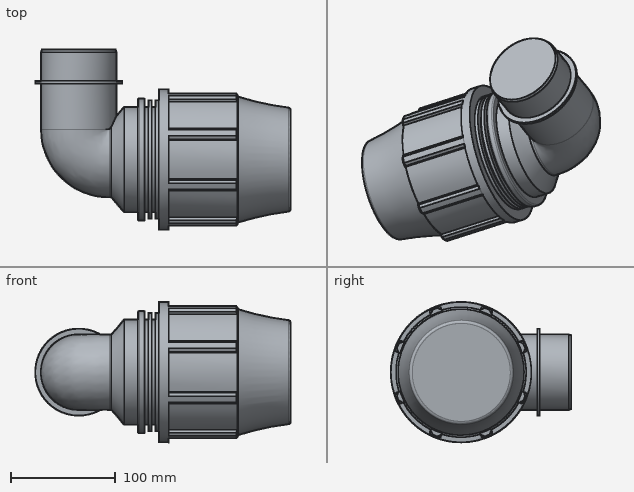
import cadquery as cq
import math


TUBE_RADIUS = 72.23 / 2
BEND_RADIUS = 29.0
SPIGOT_END_Y = 105.0
SPIGOT_CHAMFER_LENGTH = 2.6
SPIGOT_CHAMFER_DEPTH = 1.0

FLANGE_RADIUS = 83.06 / 2
FLANGE_START_Y = 72.4
FLANGE_THICKNESS = 2.6

CONE_START_X = 31.2
CONE_END_X = 43.2
SOCKET_RADIUS = 100.5 / 2

COLLAR_RADIUS = 116.58 / 2
COLLAR_START_X = 56.4
COLLAR_WIDTH = 6.6
COLLAR_ROUNDING = 1.3
RIDGE_RADIUS = 113.08 / 2
RIDGE_WIDTH = 3.3
RIDGE_PITCH = 6.7
RIDGE_START_X = 66.3
RIDGE_COUNT = 2

NUT_FLANGE_RADIUS = 134.0 / 2
NUT_START_X = 76.4
NUT_FLANGE_WIDTH = 9.2
NUT_BODY_RADIUS = 62.0
NUT_BODY_END_X = 152.0
NUT_EDGE_LENGTH = 1.0
SLEEVE_START_RADIUS = 60.0
SLEEVE_MIDDLE_X = 173.4
SLEEVE_MIDDLE_RADIUS = 54.2
SLEEVE_END_RADIUS = 49.4
NUT_END_X = 202.0
NUT_END_ROUNDING = 3.0

RIB_COUNT = 8
RIB_ROOT_RADIUS = 55.0
RIB_HALF_WIDTH = 5.6
RIB_TOP_HALF_WIDTH = 3.1
RIB_SHOULDER_RADIUS = 64.6
RIB_END_X = 151.6
RIB_END_CHAMFER = 1.8


def disc_x(radius, start_x, length):
    """Cylinder on the socket axis."""
    return cq.Workplane("YZ").workplane(offset=start_x).circle(radius).extrude(length)


def make_spigot():
    """Straight tube along +Y with a chamfered tip and a thin stop flange."""
    profile = (
        cq.Workplane("XY")
        .moveTo(0, BEND_RADIUS)
        .lineTo(TUBE_RADIUS, BEND_RADIUS)
        .lineTo(TUBE_RADIUS, FLANGE_START_Y)
        .lineTo(FLANGE_RADIUS, FLANGE_START_Y)
        .lineTo(FLANGE_RADIUS, FLANGE_START_Y + FLANGE_THICKNESS)
        .lineTo(TUBE_RADIUS, FLANGE_START_Y + FLANGE_THICKNESS)
        .lineTo(TUBE_RADIUS, SPIGOT_END_Y - SPIGOT_CHAMFER_LENGTH)
        .lineTo(TUBE_RADIUS - SPIGOT_CHAMFER_DEPTH, SPIGOT_END_Y)
        .lineTo(0, SPIGOT_END_Y)
        .close()
    )
    return profile.revolve(360, (0, 0, 0), (0, 1, 0))


def make_bend():
    """Quarter turn from the spigot to the socket.

    The bend is tighter than the tube radius, so only the part of the tube circle
    on the outer side of the turning axis is swept.
    """
    half_chord = math.sqrt(TUBE_RADIUS**2 - BEND_RADIUS**2)
    section = (
        cq.Workplane("XZ", origin=(0, BEND_RADIUS, 0))
        .moveTo(BEND_RADIUS, -half_chord)
        .threePointArc((-TUBE_RADIUS, 0), (BEND_RADIUS, half_chord))
        .close()
    )
    return section.revolve(90, (BEND_RADIUS, 0, 0), (BEND_RADIUS, 1, 0))


def make_socket():
    """Short neck, cone and cylinder that carry the collar and thread."""
    profile = (
        cq.Workplane("XY")
        .moveTo(BEND_RADIUS, 0)
        .lineTo(BEND_RADIUS, TUBE_RADIUS)
        .lineTo(CONE_START_X, TUBE_RADIUS)
        .lineTo(CONE_END_X, SOCKET_RADIUS)
        .lineTo(NUT_START_X, SOCKET_RADIUS)
        .lineTo(NUT_START_X, 0)
        .close()
    )
    socket = profile.revolve(360, (0, 0, 0), (1, 0, 0))
    collar = disc_x(COLLAR_RADIUS, COLLAR_START_X, COLLAR_WIDTH).edges().fillet(COLLAR_ROUNDING)
    socket = socket.union(collar)
    for index in range(RIDGE_COUNT):
        ridge_x = RIDGE_START_X + index * RIDGE_PITCH
        socket = socket.union(disc_x(RIDGE_RADIUS, ridge_x, RIDGE_WIDTH))
    return socket


def make_nut_body():
    """Cylindrical grip and hollow-curved tapering sleeve."""
    profile = (
        cq.Workplane("XY")
        .moveTo(NUT_START_X, 0)
        .lineTo(NUT_START_X, NUT_BODY_RADIUS)
        .lineTo(NUT_BODY_END_X - NUT_EDGE_LENGTH, NUT_BODY_RADIUS)
        .lineTo(NUT_BODY_END_X, SLEEVE_START_RADIUS)
        .threePointArc((SLEEVE_MIDDLE_X, SLEEVE_MIDDLE_RADIUS), (NUT_END_X, SLEEVE_END_RADIUS))
        .lineTo(NUT_END_X, 0)
        .close()
    )
    nut = profile.revolve(360, (0, 0, 0), (1, 0, 0))
    return nut.faces(">X").edges().fillet(NUT_END_ROUNDING)


def make_rib():
    """Grip rib at +Y with bevelled shoulders, its top flush with the nut flange and chamfered at the end."""
    top_corner_y = math.sqrt(NUT_FLANGE_RADIUS**2 - RIB_TOP_HALF_WIDTH**2)
    rib_start_x = NUT_START_X + NUT_FLANGE_WIDTH
    outer_end_edges = "not(|Y or <Y)"
    rib = (
        cq.Workplane("YZ")
        .workplane(offset=rib_start_x)
        .moveTo(RIB_ROOT_RADIUS, -RIB_HALF_WIDTH)
        .lineTo(RIB_SHOULDER_RADIUS, -RIB_HALF_WIDTH)
        .lineTo(top_corner_y, -RIB_TOP_HALF_WIDTH)
        .threePointArc((NUT_FLANGE_RADIUS, 0), (top_corner_y, RIB_TOP_HALF_WIDTH))
        .lineTo(RIB_SHOULDER_RADIUS, RIB_HALF_WIDTH)
        .lineTo(RIB_ROOT_RADIUS, RIB_HALF_WIDTH)
        .close()
        .extrude(RIB_END_X - rib_start_x)
    )
    return rib.faces(">X").edges(outer_end_edges).chamfer(RIB_END_CHAMFER)


def make_nut():
    """Nut body with its evenly spaced ribs and its flange, whose rim meets the rib tops."""
    nut = make_nut_body()
    rib = make_rib()
    pitch_angle = 360 / RIB_COUNT
    for index in range(RIB_COUNT):
        angle = (index + 0.5) * pitch_angle
        nut = nut.union(rib.rotate((0, 0, 0), (1, 0, 0), angle))
    return nut.union(disc_x(NUT_FLANGE_RADIUS, NUT_START_X, NUT_FLANGE_WIDTH))


result = make_spigot().union(make_bend()).union(make_socket()).union(make_nut())